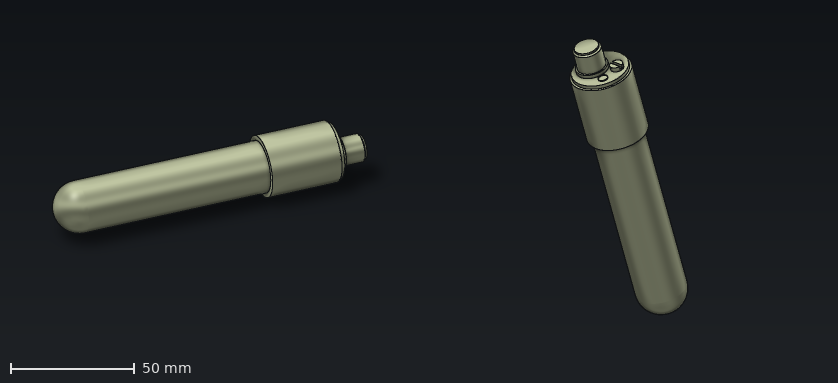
import cadquery as cq

TOTAL_LENGTH = 133.0

TUBE_DIAMETER = 21.8
HEAD_DIAMETER = 26.0
CAP_DIAMETER = 24.0
HEAD_START = 89.9
HEAD_LENGTH = 30.2
CAP_HEIGHT = 1.6
CAP_FACE = HEAD_START + HEAD_LENGTH + CAP_HEIGHT

CONNECTOR_X = 3.0
CONNECTOR_Z = 0.8
COLLAR_DIAMETER = 13.5
COLLAR_HEIGHT = 1.6
BARREL_DIAMETER = 12.0
TIP_DIAMETER = 10.2
TIP_LENGTH = 0.8
TIP_CONE_LENGTH = 0.5

SCREW_X = -7.2
SCREW_Z = -2.0
SCREW_DIAMETER = 5.5
SCREW_HEIGHT = 2.0
SLOT_WIDTH = 1.2
SLOT_DEPTH = 1.3
SLOT_ANGLE = 45.0

BUTTON_X = -1.3
BUTTON_Z = -7.6
BUTTON_DIAMETER = 4.0
BUTTON_HEIGHT = 0.4


def cylinder_along_y(diameter, start, length, x=0.0, z=0.0):
    """Cylinder that starts at y = start and grows toward +Y."""
    base = cq.Vector(x, start, z)
    return cq.Workplane(cq.Solid.makeCylinder(diameter / 2, length, base, cq.Vector(0, 1, 0)))


def make_body():
    """Domed tube, wider head and thin end cap, revolved about Y."""
    tube_radius = TUBE_DIAMETER / 2
    head_radius = HEAD_DIAMETER / 2
    cap_radius = CAP_DIAMETER / 2
    head_end = HEAD_START + HEAD_LENGTH
    return (
        cq.Workplane("XY")
        .radiusArc((tube_radius, tube_radius), -tube_radius)
        .lineTo(tube_radius, HEAD_START)
        .lineTo(head_radius, HEAD_START)
        .lineTo(head_radius, head_end)
        .lineTo(cap_radius, head_end)
        .lineTo(cap_radius, CAP_FACE)
        .lineTo(0, CAP_FACE)
        .close()
        .revolve(360, (0, 0, 0), (0, 1, 0))
    )


def make_connector():
    """Stepped connector whose barrel narrows through a short cone to the tip."""
    collar_radius = COLLAR_DIAMETER / 2
    barrel_radius = BARREL_DIAMETER / 2
    tip_radius = TIP_DIAMETER / 2
    collar_end = CAP_FACE + COLLAR_HEIGHT
    cone_end = TOTAL_LENGTH - TIP_LENGTH
    profile = [
        (0, CAP_FACE),
        (collar_radius, CAP_FACE),
        (collar_radius, collar_end),
        (barrel_radius, collar_end),
        (barrel_radius, cone_end - TIP_CONE_LENGTH),
        (tip_radius, cone_end),
        (tip_radius, TOTAL_LENGTH),
        (0, TOTAL_LENGTH),
    ]
    connector = cq.Workplane("XY").polyline(profile).close().revolve(360, (0, 0, 0), (0, 1, 0))
    return connector.translate((CONNECTOR_X, 0, CONNECTOR_Z))


def make_screw():
    """Screw head with a straight slot across its outer face."""
    head = cylinder_along_y(SCREW_DIAMETER, CAP_FACE, SCREW_HEIGHT, SCREW_X, SCREW_Z)
    slot_center_y = CAP_FACE + SCREW_HEIGHT - SLOT_DEPTH / 2
    slot = (
        cq.Workplane("XY")
        .box(2 * SCREW_DIAMETER, SLOT_DEPTH, SLOT_WIDTH)
        .rotate((0, 0, 0), (0, 1, 0), -SLOT_ANGLE)
        .translate((SCREW_X, slot_center_y, SCREW_Z))
    )
    return head.cut(slot)


def make_button():
    """Low disc standing on the cap face."""
    return cylinder_along_y(BUTTON_DIAMETER, CAP_FACE, BUTTON_HEIGHT, BUTTON_X, BUTTON_Z)


result = make_body().union(make_connector()).union(make_screw()).union(make_button())